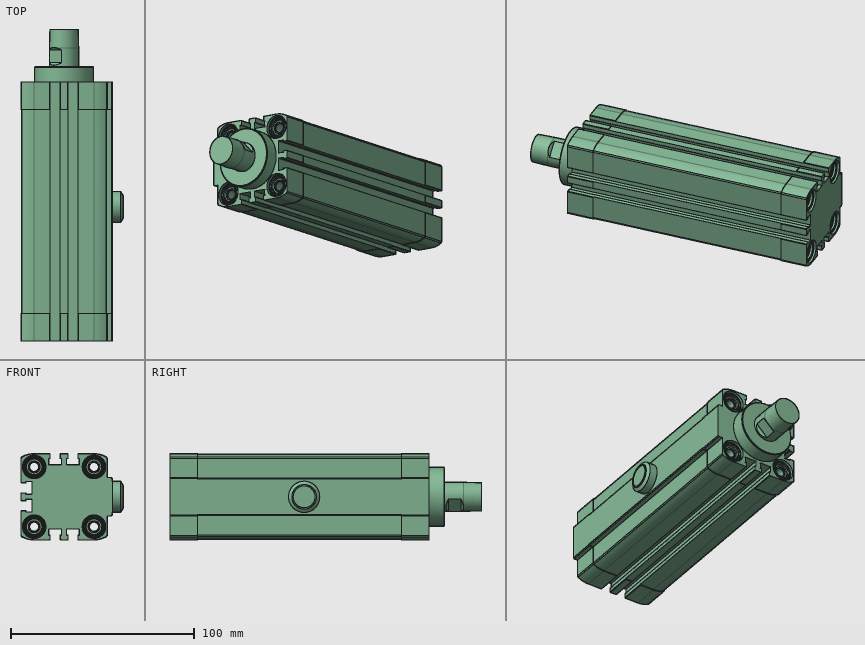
import cadquery as cq
import math


housing_length = 141.0
cap_length = 15.0
cap_half_width = 23.5
tube_half_width = 23.15
corner_arc_start = 16.25
corner_arc_radius = 14.0
corner_bevel = 0.4
corner_bevel_drop = 0.8
pad_reach = 26.2
pad_half_height = 10.5
pad_chamfer = 0.5

slot_offset = 4.85
slot_mouth_width = 5.4
slot_edge_bevel = 0.25
slot_inner_width = 6.8
slot_lip = 2.7
slot_depth = 6.0

collar_diameter = 32.2
collar_length = 8.3
collar_chamfer = 0.4

hole_spacing = 32.5
through_diameter = 4.92
step_diameter = 6.4
recess_diameter = 12.8
groove_inner_diameter = 11.9
groove_depth = 2.0
ledge_depth = 1.2
rim_base_diameter = 11.0
rim_outer_diameter = 10.0
rim_inner_diameter = 9.5
rim_depth = 0.7
socket_diameter = 8.5
socket_depth = 2.5
step_depth = 3.0

rod_diameter = 16.0
rod_length = 20.2
rod_tip_diameter = 15.5
rod_tip_length = 10.0
flat_across = 13.0
flat_length = 6.7
flat_gap = 2.2
flat_angle = 45.0

plug_diameter = 17.0
plug_face_diameter = 13.4
plug_lip_diameter = 11.9
plug_lip_height = 0.4
plug_reach = 32.4
plug_cone_start = 30.7
plug_y = 73.0


def profile_block(half_width, start, length):
    """Rounded square profile with a raised pad on +X, extruded along +Y from start."""
    arc_end = half_width - corner_bevel

    def arc_height(x):
        run = x - corner_arc_start
        return half_width - corner_arc_radius + math.sqrt(corner_arc_radius**2 - run**2)

    arc_middle = (corner_arc_start + arc_end) / 2
    bevel_end = arc_height(arc_end) - corner_bevel_drop
    shrink = cap_half_width - half_width
    pad_z = pad_half_height - shrink

    plane = cq.Plane(origin=(0, start, 0), xDir=(1, 0, 0), normal=(0, -1, 0))
    square = (
        cq.Workplane(plane)
        .moveTo(-corner_arc_start, half_width)
        .lineTo(corner_arc_start, half_width)
        .threePointArc((arc_middle, arc_height(arc_middle)), (arc_end, arc_height(arc_end)))
        .lineTo(half_width, bevel_end)
        .lineTo(half_width, -bevel_end)
        .lineTo(arc_end, -arc_height(arc_end))
        .threePointArc((arc_middle, -arc_height(arc_middle)), (corner_arc_start, -half_width))
        .lineTo(-corner_arc_start, -half_width)
        .threePointArc((-arc_middle, -arc_height(arc_middle)), (-arc_end, -arc_height(arc_end)))
        .lineTo(-half_width, -bevel_end)
        .lineTo(-half_width, bevel_end)
        .lineTo(-arc_end, arc_height(arc_end))
        .threePointArc((-arc_middle, arc_height(arc_middle)), (-corner_arc_start, half_width))
        .close()
        .extrude(-length)
    )
    pad = (
        cq.Workplane("XY")
        .box(pad_reach, length, 2 * pad_z, centered=(False, False, True))
        .edges("|Y and >X")
        .chamfer(pad_chamfer)
        .translate((0, start, 0))
    )
    return square.union(pad)


def slot_pair():
    """Two T-shaped slots with bevelled mouths on the +Z side, over the whole housing length."""
    floor_z = cap_half_width - slot_depth
    lip_z = cap_half_width - slot_lip
    bevel_z = cap_half_width - slot_edge_bevel
    inner = slot_inner_width / 2
    mouth = slot_mouth_width / 2
    bevelled = mouth + slot_edge_bevel
    half_outline = [
        (inner, floor_z),
        (inner, lip_z),
        (mouth, lip_z),
        (mouth, bevel_z),
        (bevelled, cap_half_width),
    ]
    mirrored = [(-x, z) for x, z in reversed(half_outline)]
    slot = cq.Workplane("XZ").polyline(half_outline + mirrored).close().extrude(-housing_length)
    return [slot.translate((side * slot_offset, 0, 0)) for side in (-1, 1)]


def screw_hole():
    """Through hole along Y, with the same stepped recess and raised screw-head rim at both ends."""
    end_steps = [
        (recess_diameter, 0),
        (recess_diameter, groove_depth),
        (groove_inner_diameter, groove_depth),
        (groove_inner_diameter, ledge_depth),
        (rim_base_diameter, ledge_depth),
        (rim_outer_diameter, rim_depth),
        (rim_inner_diameter, rim_depth),
        (socket_diameter, rim_depth + (rim_inner_diameter - socket_diameter) / 2),
        (socket_diameter, socket_depth),
        (step_diameter, socket_depth),
        (step_diameter, step_depth),
        (through_diameter, step_depth),
    ]
    near_end = [(diameter / 2, depth) for diameter, depth in end_steps]
    far_end = [(radius, housing_length - depth) for radius, depth in reversed(near_end)]
    return (
        cq.Workplane("XY")
        .polyline([(0, 0)] + near_end + far_end + [(0, housing_length)])
        .close()
        .revolve(360, (0, 0, 0), (0, 1, 0))
    )


def make_housing():
    body = profile_block(cap_half_width, 0, cap_length)
    body = body.union(
        profile_block(tube_half_width, cap_length, housing_length - 2 * cap_length)
    )
    body = body.union(profile_block(cap_half_width, housing_length - cap_length, cap_length))
    collar = (
        cq.Workplane("XZ", origin=(0, housing_length, 0))
        .circle(collar_diameter / 2)
        .extrude(-collar_length)
        .faces(">Y")
        .chamfer(collar_chamfer)
    )
    body = body.union(collar)
    for turn in (-90, 0, 180):
        for slot in slot_pair():
            body = body.cut(slot.rotate((0, 0, 0), (0, 1, 0), turn))
    for x in (-hole_spacing / 2, hole_spacing / 2):
        for z in (-hole_spacing / 2, hole_spacing / 2):
            body = body.cut(screw_hole().translate((x, 0, z)))
    return body


def make_rod():
    """Rod end standing on the collar, with a tapered tip and two wrench flats."""
    base_y = housing_length + collar_length
    rod = (
        cq.Workplane("XY", origin=(0, base_y, 0))
        .lineTo(rod_diameter / 2, 0)
        .lineTo(rod_diameter / 2, rod_length - rod_tip_length)
        .lineTo(rod_tip_diameter / 2, rod_length)
        .lineTo(0, rod_length)
        .close()
        .revolve(360, (0, 0, 0), (0, 1, 0))
    )
    flat_height = flat_across / 2
    flat_depth = rod_diameter / 2 - flat_height
    cutter = (
        cq.Workplane("YZ", origin=(-rod_diameter / 2, base_y + flat_gap, 0))
        .moveTo(0, flat_height)
        .lineTo(flat_length, flat_height)
        .lineTo(flat_length + flat_depth, rod_diameter / 2)
        .lineTo(-flat_depth, rod_diameter / 2)
        .close()
        .extrude(rod_diameter)
    )
    for turn in (-flat_angle, 180 - flat_angle):
        rod = rod.cut(cutter.rotate((0, 0, 0), (0, 1, 0), turn))
    return rod


def make_plug():
    """Round plug standing on the pad, with a tapered end and a thin lip on its face."""
    face_x = plug_reach - plug_lip_height
    return (
        cq.Workplane("XY", origin=(0, plug_y, 0))
        .moveTo(pad_reach, 0)
        .lineTo(pad_reach, plug_diameter / 2)
        .lineTo(plug_cone_start, plug_diameter / 2)
        .lineTo(face_x, plug_face_diameter / 2)
        .lineTo(face_x, plug_lip_diameter / 2)
        .lineTo(plug_reach, plug_lip_diameter / 2)
        .lineTo(plug_reach, 0)
        .close()
        .revolve(360, (0, 0, 0), (1, 0, 0))
    )


housing = make_housing()
rod = make_rod()
plug = make_plug()

result = cq.Compound.makeCompound([housing.val(), rod.val(), plug.val()])